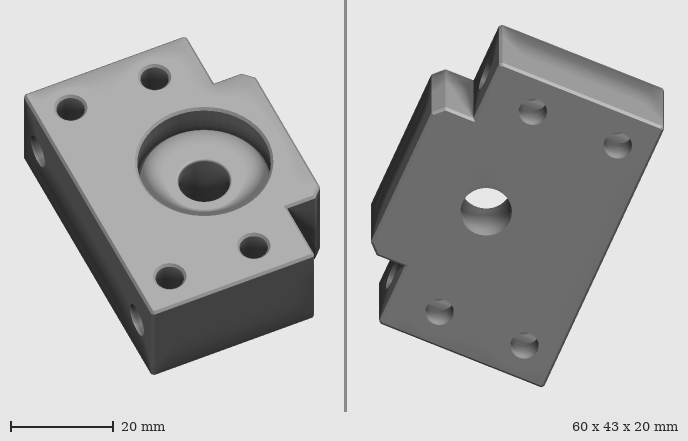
import cadquery as cq

width = 60.0
height = width / 3
base_depth = 35.0
total_depth = 43.0
tab_width = 34.0
tab_corner = 2.1
edge_break = 0.5

axis_y = 25.0
seat_diameter = 26.0
seat_depth = 6.0
seat_floor = height - seat_depth
shaft_diameter = 10.0

screw_x = 23.0
screw_row_pitch = 18.0
vertical_screw_diameter = 5.5
cross_screw_diameter = 6.6


def make_body():
    """Base and tab joined into one block with chamfered outer edges."""
    base = cq.Workplane("XY").box(width, base_depth, height, centered=(True, False, False))
    tab = cq.Workplane("XY").box(tab_width, total_depth, height, centered=(True, False, False))
    tab = tab.edges("|Z and >Y").chamfer(tab_corner)
    body = base.union(tab)
    body = body.edges("|Z").edges("<X or >X").chamfer(edge_break)
    return body.faces("<Z or >Z").edges().chamfer(edge_break)


def cylinder(diameter, x, y, bottom, top):
    """Vertical cylinder between two heights."""
    return cq.Workplane("XY", origin=(x, y, bottom)).circle(diameter / 2).extrude(top - bottom)


def cone(bottom_diameter, top_diameter, x, y, top):
    """Vertical cone, one edge break tall, ending at the given height."""
    base_centre = cq.Vector(x, y, top - edge_break)
    solid = cq.Solid.makeCone(bottom_diameter / 2, top_diameter / 2, edge_break, base_centre)
    return cq.Workplane(solid)


def chamfered_bore(diameter, x, y, bottom):
    """Cutter for a bore from the given height to the top face, with a chamfered mouth."""
    mouth = cone(diameter, diameter + 2 * edge_break, x, y, height)
    return cylinder(diameter, x, y, bottom, height).union(mouth)


def make_seat():
    """Cutter for the bearing seat, with a sloped relief groove around its floor."""
    relief_bottom = seat_floor - edge_break
    island = cone(seat_diameter, seat_diameter - 2 * edge_break, 0, axis_y, seat_floor)
    return chamfered_bore(seat_diameter, 0, axis_y, relief_bottom).cut(island)


def make_cross_hole(x):
    """Cutter for a hole running from the front face through to the back."""
    plane = cq.Workplane("XZ", origin=(x, 0, height / 2))
    return plane.circle(cross_screw_diameter / 2).extrude(-total_depth)


result = make_body().cut(make_seat())

result = result.cut(cylinder(shaft_diameter, 0, axis_y, 0, seat_floor))
shaft_edges = result.edges("%CIRCLE").edges(cq.selectors.RadiusNthSelector(0))
result = shaft_edges.edges(">Z").fillet(edge_break)

for x in (-screw_x, screw_x):
    for y in (axis_y - screw_row_pitch, axis_y):
        result = result.cut(chamfered_bore(vertical_screw_diameter, x, y, 0))
    result = result.cut(make_cross_hole(x))